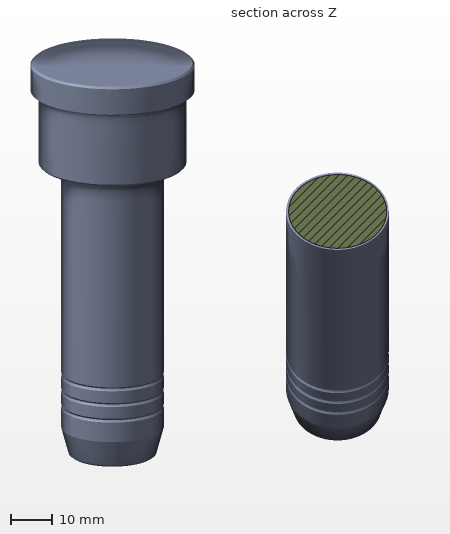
import cadquery as cq

total_height = 100.0
head_thickness = 7.0
collar_bottom = 74.0
taper_height = 7.0

head_radius = 20.0
collar_radius = 18.0
shank_radius = 12.5
tip_radius = 10.6

edge_chamfer = 0.5

relief_height = 1.0
collar_relief_depth = 0.3
shank_relief_depth = 0.5

groove_count = 3
groove_pitch = 4.0
first_groove_height = 12.5
groove_width = 1.0
groove_depth = 0.5

head_bottom = total_height - head_thickness


def cylinder(radius, bottom, top):
    """Solid cylinder on the Z axis between two levels."""
    return cq.Workplane("XY").workplane(offset=bottom).circle(radius).extrude(top - bottom)


def make_head():
    head = cylinder(head_radius, head_bottom, total_height)
    return head.faces(">Z").edges().chamfer(edge_chamfer)


def make_collar():
    neck_bottom = head_bottom - relief_height
    collar = cylinder(collar_radius, collar_bottom, neck_bottom)
    collar = collar.faces("<Z").edges().chamfer(edge_chamfer)
    neck = cylinder(collar_radius - collar_relief_depth, neck_bottom, head_bottom)
    return collar.union(neck)


def make_shank():
    """Shank with a tapered nose and a relief neck at the top."""
    neck_bottom = collar_bottom - relief_height
    shank = (
        cq.Workplane("XZ")
        .lineTo(tip_radius, 0)
        .lineTo(shank_radius, taper_height)
        .lineTo(shank_radius, neck_bottom)
        .lineTo(0, neck_bottom)
        .close()
        .revolve(360, (0, 0, 0), (0, 1, 0))
    )
    shank = shank.faces("<Z").edges().chamfer(edge_chamfer)
    neck = cylinder(shank_radius - shank_relief_depth, neck_bottom, collar_bottom)
    return shank.union(neck)


def make_groove(height):
    """Ring of V section opening at the shank surface."""
    return (
        cq.Workplane("XZ")
        .moveTo(shank_radius, height - groove_width / 2)
        .lineTo(shank_radius - groove_depth, height)
        .lineTo(shank_radius, height + groove_width / 2)
        .close()
        .revolve(360, (0, 0, 0), (0, 1, 0))
    )


result = make_shank().union(make_collar()).union(make_head())
for index in range(groove_count):
    result = result.cut(make_groove(first_groove_height + index * groove_pitch))